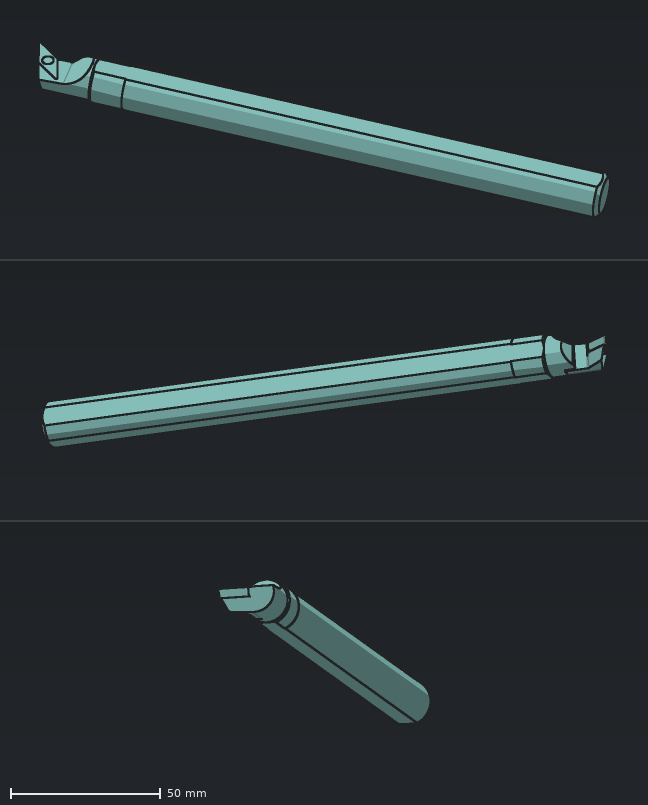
import cadquery as cq
import math

LENGTH = 201.5
SHANK_DIAMETER = 16.0
SHANK_RADIUS = SHANK_DIAMETER / 2
FLAT_DISTANCE = 7.3
END_CHAMFER = 1.6
COLLAR_RADIUS = 7.9
COLLAR_START = 22.5
COLLAR_END = 34.6
COLLAR_CHAMFER = 1.0
NECK_RADIUS = 7.3
NECK_START = 13.5

INSERT_SIDE = 11.0
INSERT_ANGLE = 35.0
INSERT_DIRECTION = -55.5
INSERT_THICKNESS = 3.2
NOSE_RADIUS = 0.5
INSERT_DRAFT = 7.0
INSERT_HOLE_DIAMETER = 3.8
OVERALL_WIDTH = 18.7
TIP_Y = OVERALL_WIDTH - SHANK_RADIUS
TIP_Z = 0.3

RAKE_SLOPE_X = 0.054
RAKE_SLOPE_Y = -0.06
HEAD_DRAFT = 9.0
HEAD_DEPTH = 12.0
BEAK_TRUNCATION = 1.5
HEAD_BACK_Y = 4.2
HEAD_FRONT_Y = -10.0
HEAD_OVERLAP_X = 18.1
SCOOP_START = 14.0
SCOOP_END = 22.0
SCOOP_SAG = 1.0
MARGIN = 20.1


def along(point, angle, distance):
    """Point at a distance from another in a plan direction given in degrees."""
    turn = math.radians(angle)
    return (point[0] + distance * math.cos(turn), point[1] + distance * math.sin(turn))


LEFT_ANGLE = INSERT_DIRECTION - INSERT_ANGLE / 2
RIGHT_ANGLE = INSERT_DIRECTION + INSERT_ANGLE / 2

nose_offset = NOSE_RADIUS / math.sin(math.radians(INSERT_ANGLE / 2))
nose_center = (NOSE_RADIUS, TIP_Y - NOSE_RADIUS)
tip = along(nose_center, INSERT_DIRECTION, -nose_offset)
left_corner = along(tip, LEFT_ANGLE, INSERT_SIDE)
right_corner = along(tip, RIGHT_ANGLE, INSERT_SIDE)
inner_corner = along(left_corner, RIGHT_ANGLE, INSERT_SIDE)
insert_center = ((tip[0] + inner_corner[0]) / 2, (tip[1] + inner_corner[1]) / 2)


def rake_height(x, y):
    """Height of the tilted rake plane above a plan position."""
    return TIP_Z + RAKE_SLOPE_X * x + RAKE_SLOPE_Y * (y - TIP_Y)


def rake_plane():
    """Plane on the rake face with its origin at the insert centre."""
    x, y = insert_center
    return cq.Plane(
        origin=(x, y, rake_height(x, y)),
        xDir=(1, 0, RAKE_SLOPE_X),
        normal=(-RAKE_SLOPE_X, -RAKE_SLOPE_Y, 1),
    )


def from_insert_center(points):
    """Plan points measured from the insert centre."""
    return [(x - insert_center[0], y - insert_center[1]) for x, y in points]


def round_bar(radius, start, end):
    return cq.Workplane("YZ", origin=(start, 0, 0)).circle(radius).extrude(end - start)


def flat_envelope():
    """Block between the top and bottom flats, bounded on +Y by the side flat."""
    width = FLAT_DISTANCE + MARGIN
    block = cq.Workplane("XY").box(LENGTH, width, 2 * FLAT_DISTANCE, centered=(False, False, True))
    return block.translate((0, -MARGIN, 0))


def make_shank():
    bar = round_bar(SHANK_RADIUS, COLLAR_END, LENGTH).faces(">X").chamfer(END_CHAMFER)
    collar = round_bar(COLLAR_RADIUS, COLLAR_START, COLLAR_END).faces("<X").chamfer(COLLAR_CHAMFER)
    neck = round_bar(NECK_RADIUS, NECK_START, COLLAR_END)
    return bar.union(collar).union(neck).intersect(flat_envelope())


def cut_neck_corner(body):
    """Slope the +Y side of the neck from the head out to the neck's full width."""
    rise = FLAT_DISTANCE - HEAD_BACK_Y
    corner = (
        cq.Workplane("XY")
        .moveTo(SCOOP_START, HEAD_BACK_Y)
        .lineTo(SCOOP_START + rise, FLAT_DISTANCE)
        .lineTo(SCOOP_START + rise, FLAT_DISTANCE + MARGIN)
        .lineTo(0, FLAT_DISTANCE + MARGIN)
        .lineTo(0, HEAD_BACK_Y)
        .close()
        .extrude(MARGIN, both=True)
    )
    return body.cut(corner)


def make_head():
    """Beak that narrows down from the rake plane, trimmed by the round of the neck on -Y."""
    front_run = (tip[1] - HEAD_FRONT_Y) / math.sin(math.radians(-LEFT_ANGLE))
    back_run = (tip[1] - HEAD_BACK_Y) / math.sin(math.radians(-RIGHT_ANGLE))
    corners = [
        along(tip, LEFT_ANGLE, BEAK_TRUNCATION),
        along(tip, LEFT_ANGLE, front_run),
        (HEAD_OVERLAP_X, HEAD_FRONT_Y),
        (HEAD_OVERLAP_X, HEAD_BACK_Y),
        along(tip, RIGHT_ANGLE, back_run),
        along(tip, RIGHT_ANGLE, BEAK_TRUNCATION),
    ]
    outline = from_insert_center(corners)
    beak = cq.Workplane(rake_plane()).polyline(outline).close().extrude(-HEAD_DEPTH, taper=HEAD_DRAFT)
    open_side = cq.Workplane("XY").box(
        MARGIN, MARGIN, 2 * FLAT_DISTANCE, centered=(False, False, True)
    )
    return beak.intersect(round_bar(NECK_RADIUS, 0, MARGIN).union(open_side))


def cut_rake_face(body):
    """Remove everything above the rake plane, ending in a concave ramp up to the top."""
    low = rake_height(SCOOP_START, 0)
    middle_x = (SCOOP_START + SCOOP_END) / 2
    middle_z = (low + FLAT_DISTANCE) / 2
    chord_angle = math.atan2(FLAT_DISTANCE - low, SCOOP_END - SCOOP_START)
    sag_point = (
        middle_x + SCOOP_SAG * math.sin(chord_angle),
        middle_z - SCOOP_SAG * math.cos(chord_angle),
    )
    start_y = -MARGIN
    lift = RAKE_SLOPE_Y * start_y
    profile = (
        cq.Workplane("XZ", origin=(0, start_y, lift))
        .moveTo(-MARGIN, rake_height(-MARGIN, 0))
        .lineTo(SCOOP_START, low)
        .threePointArc(sag_point, (SCOOP_END, FLAT_DISTANCE))
        .lineTo(SCOOP_END, FLAT_DISTANCE + MARGIN)
        .lineTo(-MARGIN, FLAT_DISTANCE + MARGIN)
        .close()
    )
    path = cq.Workplane("XY").add(
        cq.Edge.makeLine(cq.Vector(0, start_y, lift), cq.Vector(0, -start_y, -lift))
    )
    return body.cut(profile.sweep(path))


def make_insert_blank():
    """Drafted rhombic plate just below the rake plane, with rounded corners."""
    corners = [tip, left_corner, inner_corner, right_corner]
    outline = from_insert_center(corners)
    sharp = cq.Sketch().polygon(outline + outline[:1])
    rounded = sharp.vertices().fillet(NOSE_RADIUS)
    return cq.Workplane(rake_plane()).placeSketch(rounded).extrude(-INSERT_THICKNESS, taper=INSERT_DRAFT)


def make_post():
    """Round post filling the insert's hole, flush with the rake plane."""
    return cq.Workplane(rake_plane()).circle(INSERT_HOLE_DIAMETER / 2).extrude(-INSERT_THICKNESS)


def make_insert():
    return make_insert_blank().cut(make_post())


def make_holder():
    """Shank, neck and head in one piece, with a seat and a post for the insert."""
    body = cut_neck_corner(make_shank()).union(make_head())
    return cut_rake_face(body).cut(make_insert())


holder = make_holder()
insert = make_insert()

result = cq.Compound.makeCompound([holder.solids().val(), insert.solids().val()])